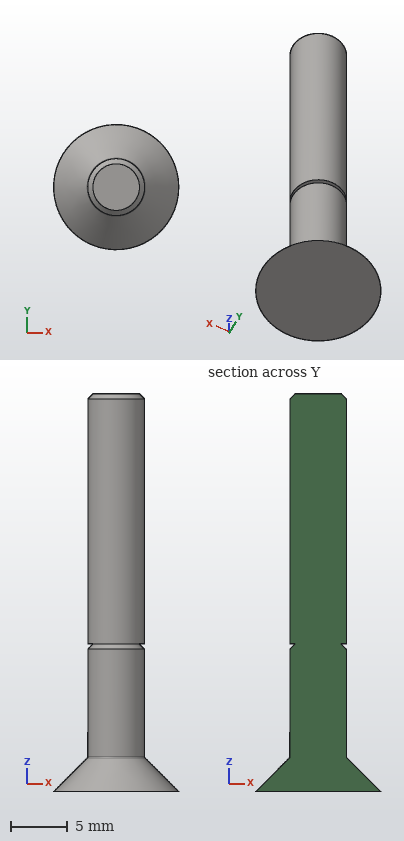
import cadquery as cq

total_length = 35.0
head_diameter = 11.02
shaft_diameter = 5.0
step_height = 13.0
chamfer = 0.45
neck_fillet = 0.18

head_radius = head_diameter / 2
shaft_radius = shaft_diameter / 2
head_height = head_radius - shaft_radius
upper_length = total_length - step_height


def make_head():
    """Conical head, widest at its flat base."""
    return (
        cq.Workplane("XZ")
        .polyline([(0, 0), (head_radius, 0), (shaft_radius, head_height), (0, head_height)])
        .close()
        .revolve(360, (0, 0, 0), (0, 1, 0))
    )


def make_shaft_section(base_height, length):
    """Cylinder along Z with a chamfered top edge."""
    return (
        cq.Workplane("XY", origin=(0, 0, base_height))
        .circle(shaft_radius)
        .extrude(length)
        .faces(">Z")
        .chamfer(chamfer)
    )


lower_shaft = make_shaft_section(head_height, step_height - head_height)
upper_shaft = make_shaft_section(step_height, upper_length)

neck_selector = cq.selectors.BoxSelector(
    (-head_radius, -head_radius, head_height - chamfer),
    (head_radius, head_radius, head_height + chamfer),
    boundingbox=True,
)
headed_shaft = make_head().union(lower_shaft).edges(neck_selector).fillet(neck_fillet)

result = headed_shaft.union(upper_shaft)